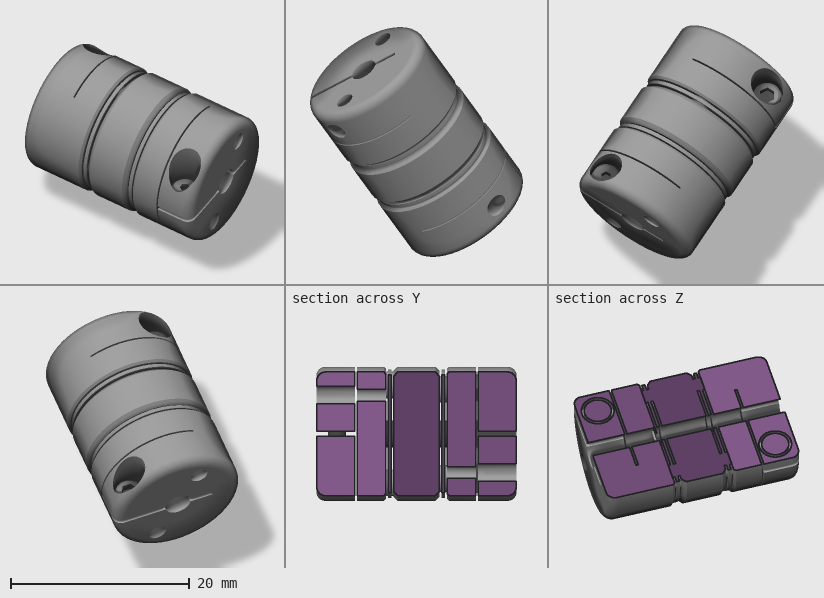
import cadquery as cq
import math


total_length = 22.4
outer_diameter = 15.0
hub_length = 7.8
pad_thickness = 0.2
disc_thickness = 0.4
disc_diameter = 14.4
bore_diameter = 3.0
spacer_length = total_length - 2 * (hub_length + 2 * pad_thickness + disc_thickness)

end_fillet = 1.0
hub_chamfer = 0.25
spacer_chamfer = 0.5

pad_diameter = 3.0
pad_offset = 5.47
right_pad_height = 5.0

cross_slit_distance = 4.44
cross_slit_width = 0.2
cross_slit_floor = 3.55
clamp_slit_width = 0.5
clamp_slit_end = 4.1

access_diameter = 2.0
access_inner_diameter = 1.4
access_circle_radius = 5.0
access_angle = 60.0

screw_offset = 5.0
screw_distance = 2.3
screw_diameter = 2.0
head_diameter = 3.1
head_height = 1.75
head_chamfer = 0.3
counterbore_diameter = 3.6
seat_height = 0.5
screw_tip_height = -4.0
left_hex_width = 1.57
right_hex_width = 1.03
hex_depth = 1.0

lip_thickness = 0.2
upper_lip_height = 1.2
upper_lip_slope = 8.9
lower_lip_height = -0.43
lower_lip_slope = -12.4

end_x = total_length / 2
outer_radius = outer_diameter / 2
hub_inner_x = end_x - hub_length
spacer_end_x = spacer_length / 2
disc_inner_x = spacer_end_x + pad_thickness
screw_x = end_x - screw_distance
cross_slit_x = end_x - cross_slit_distance


def rod(diameter, start_x, length, y=0.0, z=0.0):
    """Cylinder parallel to X that runs from start_x towards +X."""
    return cq.Workplane("YZ", origin=(start_x, y, z)).circle(diameter / 2).extrude(length)


def post(diameter, bottom_z, height, x, y):
    """Cylinder parallel to Z that rises from bottom_z."""
    return cq.Workplane("XY", origin=(x, y, bottom_z)).circle(diameter / 2).extrude(height)


def block(x_range, y_range, z_range):
    """Box between two limits along each axis."""
    sizes = [high - low for low, high in (x_range, y_range, z_range)]
    corner = (x_range[0], y_range[0], z_range[0])
    return cq.Workplane("XY").box(*sizes, centered=False).translate(corner)


def half_turn(body):
    """Turn a body by 180 degrees about Z, to the other end of the coupling."""
    return body.rotate((0, 0, 0), (0, 0, 1), 180)



def cut_slits(hub):
    """Cut the cross slit and the clamp slit that free the clamping jaw."""
    slit_start = cross_slit_x - cross_slit_width / 2
    slit_stop = slit_start + cross_slit_width
    half_clamp = clamp_slit_width / 2
    full_height = (-outer_radius, outer_radius)
    cross_slit = block((slit_start, slit_stop), (-outer_radius, cross_slit_floor), full_height)
    clamp_slit = block((slit_start, end_x), (-outer_radius, clamp_slit_end), (-half_clamp, half_clamp))
    return hub.cut(cross_slit).cut(clamp_slit)


def cut_screw_hole(hub):
    """Cut the vertical screw hole, open at the bottom, and its counterbore."""
    shank_hole = post(screw_diameter, -outer_radius, outer_diameter, screw_x, -screw_offset)
    counterbore = post(counterbore_diameter, seat_height, outer_radius, screw_x, -screw_offset)
    return hub.cut(shank_hole).cut(counterbore)


def cut_access_holes(hub):
    """Cut two stepped holes, which narrow behind the cross slit."""
    angle = math.radians(access_angle)
    for side in (1, -1):
        y = side * access_circle_radius * math.cos(angle)
        z = side * access_circle_radius * math.sin(angle)
        hub = hub.cut(rod(access_inner_diameter, hub_inner_x, hub_length, y, z))
        hub = hub.cut(rod(access_diameter, cross_slit_x, cross_slit_distance, y, z))
    return hub


def make_hub():
    """Clamp hub at the +X end, with its screw on the -Y side."""
    hub = rod(outer_diameter, hub_inner_x, hub_length)
    hub = hub.faces(">X").edges().fillet(end_fillet)
    hub = hub.faces("<X").edges().chamfer(hub_chamfer)
    hub = hub.cut(rod(bore_diameter, hub_inner_x, hub_length))
    hub = cut_slits(hub)
    hub = cut_screw_hole(hub)
    return cut_access_holes(hub)


def make_stop_lip(height, slope):
    """Segment of the bore beyond a slanted chord, on the side away from the axis."""
    side = math.copysign(1, height)
    reach = bore_diameter
    cover = block((hub_inner_x, hub_inner_x + lip_thickness), (-reach, reach), (-reach / 2, reach / 2))
    cover = cover.translate((0, 0, side * reach / 2))
    cover = cover.rotate((0, 0, 0), (1, 0, 0), slope).translate((0, 0, height))
    return cover.intersect(rod(bore_diameter, hub_inner_x, lip_thickness))


def make_right_hub():
    """Hub at the +X end with two stop lips in its bore."""
    hub = make_hub()
    hub = hub.union(make_stop_lip(upper_lip_height, upper_lip_slope))
    return hub.union(make_stop_lip(lower_lip_height, lower_lip_slope))



def make_disc_pack(side, pad_height):
    """Disc on one side of the spacer, with four pads on each of its faces."""
    pack_thickness = disc_thickness + 2 * pad_thickness
    pack_start = spacer_end_x if side > 0 else -hub_inner_x
    disc_start = disc_inner_x if side > 0 else -disc_inner_x - disc_thickness
    pack = rod(disc_diameter, disc_start, disc_thickness)
    pad_places = [(pad_offset, 0), (-pad_offset, 0), (0, pad_height), (0, -pad_height)]
    for y, z in pad_places:
        pack = pack.union(rod(pad_diameter, pack_start, pack_thickness, y, z))
    return pack


def make_centre_element():
    """Chamfered spacer joined to both disc packs, with the bore right through."""
    element = rod(outer_diameter, -spacer_end_x, spacer_length)
    element = element.faces("<X or >X").edges().chamfer(spacer_chamfer)
    element = element.union(make_disc_pack(-1, pad_offset))
    element = element.union(make_disc_pack(1, right_pad_height))
    return element.cut(rod(bore_diameter, -hub_inner_x, 2 * hub_inner_x))



def make_screw(hex_width):
    """Socket head screw that fits the hub at the +X end."""
    head_top = seat_height + head_height
    hex_corner_diameter = hex_width / math.cos(math.pi / 6)
    head = post(head_diameter, seat_height, head_height, screw_x, -screw_offset)
    head = head.faces(">Z").edges().chamfer(head_chamfer)
    socket = (
        cq.Workplane("XY", origin=(screw_x, -screw_offset, head_top))
        .transformed(rotate=(0, 0, 90))
        .polygon(6, hex_corner_diameter)
        .extrude(-hex_depth)
    )
    shank_length = seat_height - screw_tip_height
    shank = post(screw_diameter, screw_tip_height, shank_length, screw_x, -screw_offset)
    return head.cut(socket).union(shank)


left_hub = half_turn(make_hub())
right_hub = make_right_hub()
centre_element = make_centre_element()
left_screw = half_turn(make_screw(left_hex_width))
right_screw = make_screw(right_hex_width)

result = cq.Compound.makeCompound([
    left_hub.val(),
    right_hub.val(),
    centre_element.val(),
    left_screw.val(),
    right_screw.val(),
])